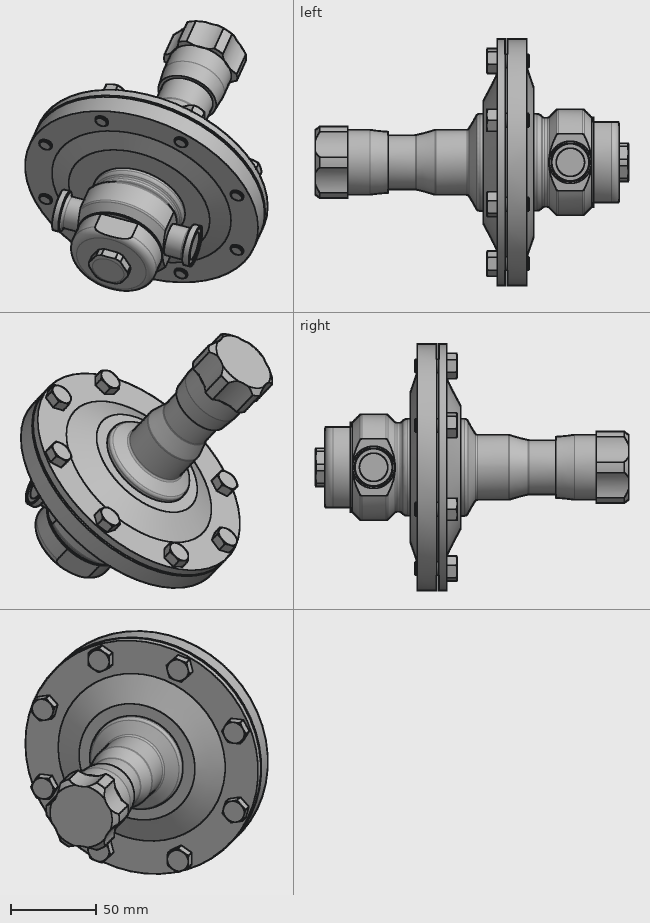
import cadquery as cq
import math


PLUG_CONE_END = 0.7
CAP_FRONT = 5.65
CAP_REAR = 20.7
LAND_REAR = 21.8
COLLAR_FRONT = 55.75
FRONT_FLANGE_FRONT = 59.8
FRONT_FLANGE_REAR = 71.3
REAR_FLANGE_FRONT = 72.6
REAR_FLANGE_REAR = 77.2
REAR_DOME_TOP = 85.4
BONNET_CONE_START = 88.75
BONNET_CONE_END = 94.2
SPRING_TAPER_START = 113.5
SPRING_TAPER_END = 125.0
SLEEVE_FRONT = 141.1
SLEEVE_TAPER_END = 152.0
KNOB_FRONT = 164.8
TOTAL_LENGTH = 183.95

FLANGE_DIAMETER = 144.78
FLANGE_R = FLANGE_DIAMETER / 2
GASKET_R = 58.0
FRONT_DOME_BASE_R = 55.6
FRONT_DOME_TOP_R = 43.8
REAR_DOME_BASE_R = 51.9
REAR_DOME_TOP_R = 36.0

BOLT_COUNT = 8
BOLT_CIRCLE_R = 64.3
FIRST_BOLT_ANGLE = 360 / BOLT_COUNT / 2
HEAD_TURN = 22.5
BOLT_R = 4.0
BOLT_TIP_Y = 58.5
BOLT_TIP_CHAMFER = 0.6
BOLT_HEAD_ACROSS_FLATS = 13.0
BOLT_HEAD_HEIGHT = 6.1
HEAD_CHAMFER_R = 6.5
HEAD_CHAMFER_DROP = 0.5

BODY_R = 31.2
BODY_FLAT_HALF = 26.4
LAND_R = 26.35
NECK_R = 26.15
COLLAR_R = 28.5
BODY_CONE_REAR = 47.2
NECK_REAR = 50.2
BODY_EDGE_FILLET = 1.6
COLLAR_FILLET = 3.5

CAP_R = 26.3
CAP_FLAT_HALF = 23.65
CAP_FILLET = 4.7
PLUG_ACROSS_FLATS = 22.6
PLUG_R = 12.1
PLUG_FACE_R = 9.8

PORT_Y = 34.3
PORT_END_X = 42.4
PORT_FLANGE_BACK_X = 38.6
PORT_BEVEL_X = 38.1
PORT_NECK_START_X = 36.4
PORT_FLANGE_R = 12.4
PORT_BEVEL_R = 11.6
PORT_NECK_R = 9.6
PORT_RECESS_R = 11.3
PORT_RECESS_FLOOR_R = 10.9
PORT_RECESS_DEPTH = 0.5
PORT_BORE_R = 8.3
PORT_BORE_STEP = 0.2

BONNET_R = 28.6
SPRING_R = 19.15
SPRING_NECK_R = 16.0
SLEEVE_FRONT_R = 18.0
BONNET_FILLET_BASE = 2.5
BONNET_FILLET_TOP = 1.6
SPRING_FILLET = 2.5

KNOB_R = 22.7
KNOB_END_R = 19.3
KNOB_CHAMFER_LENGTH = 2.8
FLUTE_COUNT = 6
FLUTE_HALF_WIDTH = 8.6
FLUTE_FLOOR_R = 18.6


def turned(points):
    """Revolve an (r, y) outline about the Y axis; the outline is closed along the axis."""
    on_axis = [(0, points[0][1])] + points + [(0, points[-1][1])]
    return cq.Workplane("XY").polyline(on_axis).close().revolve(360, (0, 0, 0), (0, 1, 0))


def disc(radius, y_start, y_end):
    """Plain round bar along the Y axis."""
    return turned([(radius, y_start), (radius, y_end)])


def slab(half_x, half_z, y_start, y_end):
    """Box centred on the main axis, used to trim flats."""
    length = y_end - y_start
    return cq.Workplane("XY").box(2 * half_x, length, 2 * half_z).translate((0, (y_start + y_end) / 2, 0))


def hexagon(across_flats, y_start, y_end):
    """Hexagonal bar along Y with two of its corners pointing along X."""
    across_corners = across_flats / math.cos(math.radians(30))
    return cq.Workplane("XZ", origin=(0, y_start, 0)).polygon(6, across_corners).extrude(y_start - y_end)


def turn_about_axis(solid, angle):
    """Turn a solid about the main axis, from +X towards +Z."""
    return solid.rotate((0, 0, 0), (0, 1, 0), -angle)


def fillet_circles(solid, y, radius, fillet):
    """Round the turned edge of the given radius lying at station y."""
    tolerance = 0.01
    lower = (-radius - tolerance, y - tolerance, -radius - tolerance)
    upper = (radius + tolerance, y + tolerance, radius + tolerance)
    return solid.edges(cq.selectors.BoxSelector(lower, upper, boundingbox=True)).fillet(fillet)


def make_flanges():
    """Both flanges with their domes, joined by the gasket that leaves a gap at the rim."""
    return turned([
        (FRONT_DOME_TOP_R, COLLAR_FRONT),
        (FRONT_DOME_BASE_R, FRONT_FLANGE_FRONT),
        (FLANGE_R, FRONT_FLANGE_FRONT),
        (FLANGE_R, FRONT_FLANGE_REAR),
        (GASKET_R, FRONT_FLANGE_REAR),
        (GASKET_R, REAR_FLANGE_FRONT),
        (FLANGE_R, REAR_FLANGE_FRONT),
        (FLANGE_R, REAR_FLANGE_REAR),
        (REAR_DOME_BASE_R, REAR_FLANGE_REAR),
        (REAR_DOME_TOP_R, REAR_DOME_TOP),
    ])


def make_bolt():
    """One flange bolt on the main axis, tip forward and head behind the rear flange."""
    shank = disc(BOLT_R, BOLT_TIP_Y, REAR_FLANGE_REAR).faces("<Y").chamfer(BOLT_TIP_CHAMFER)
    head_rear = REAR_FLANGE_REAR + BOLT_HEAD_HEIGHT
    corner_r = BOLT_HEAD_ACROSS_FLATS / 2 / math.cos(math.radians(30))
    head_limit = turned([
        (corner_r, REAR_FLANGE_REAR),
        (corner_r, head_rear - HEAD_CHAMFER_DROP),
        (HEAD_CHAMFER_R, head_rear),
    ])
    head = hexagon(BOLT_HEAD_ACROSS_FLATS, REAR_FLANGE_REAR, head_rear).intersect(head_limit)
    return shank.union(head)


def add_bolts(part):
    """Add the bolt circle; each head turns round the axis with its bolt."""
    bolt = turn_about_axis(make_bolt(), HEAD_TURN).translate((BOLT_CIRCLE_R, 0, 0))
    for index in range(BOLT_COUNT):
        angle = FIRST_BOLT_ANGLE + index * 360 / BOLT_COUNT
        part = part.union(turn_about_axis(bolt, angle))
    return part


def make_body():
    """Valve body: 45 degree cones either side of a wide barrel, then a neck and collar."""
    barrel_front = LAND_REAR + (BODY_R - LAND_R)
    barrel_rear = BODY_CONE_REAR - (BODY_R - NECK_R)
    collar_edge = NECK_REAR + (COLLAR_R - NECK_R)
    body = turned([
        (LAND_R, CAP_REAR),
        (LAND_R, LAND_REAR),
        (BODY_R, barrel_front),
        (BODY_R, barrel_rear),
        (NECK_R, BODY_CONE_REAR),
        (NECK_R, NECK_REAR),
        (COLLAR_R, collar_edge),
        (COLLAR_R, COLLAR_FRONT),
    ])
    for y, radius in (
        (barrel_front, BODY_R),
        (barrel_rear, BODY_R),
        (BODY_CONE_REAR, NECK_R),
        (NECK_REAR, NECK_R),
    ):
        body = fillet_circles(body, y, radius, BODY_EDGE_FILLET)
    body = fillet_circles(body, collar_edge, COLLAR_R, COLLAR_FILLET)
    flat_depth = BODY_R - BODY_FLAT_HALF
    outside_flat = slab(flat_depth, BODY_R, CAP_REAR, BODY_CONE_REAR)
    for side in (-1, 1):
        body = body.cut(outside_flat.translate((side * (BODY_FLAT_HALF + flat_depth), 0, 0)))
    return body


def make_cap():
    """Cap with a rounded front edge and a flat on its +Z and -Z sides."""
    cap = disc(CAP_R, CAP_FRONT, CAP_REAR).faces("<Y").edges().fillet(CAP_FILLET)
    return cap.intersect(slab(CAP_R, CAP_FLAT_HALF, CAP_FRONT, CAP_REAR))


def make_plug():
    """Hexagonal plug with trimmed corners and a shallow front chamfer."""
    limit = turned([(PLUG_FACE_R, 0), (PLUG_R, PLUG_CONE_END), (PLUG_R, CAP_FRONT)])
    return hexagon(PLUG_ACROSS_FLATS, 0, CAP_FRONT).intersect(limit)


def make_ports():
    """Port on the +X side with a recessed end face, mirrored to -X."""
    recess_x = PORT_END_X - PORT_RECESS_DEPTH
    bore_x = recess_x - PORT_BORE_STEP
    port = (
        cq.Workplane("XY")
        .moveTo(0, 0)
        .lineTo(0, PORT_NECK_R)
        .lineTo(PORT_NECK_START_X, PORT_NECK_R)
        .tangentArcPoint((PORT_BEVEL_X, PORT_BEVEL_R), relative=False)
        .lineTo(PORT_FLANGE_BACK_X, PORT_FLANGE_R)
        .lineTo(PORT_END_X, PORT_FLANGE_R)
        .lineTo(PORT_END_X, PORT_RECESS_R)
        .lineTo(recess_x, PORT_RECESS_FLOOR_R)
        .lineTo(recess_x, PORT_BORE_R)
        .lineTo(bore_x, PORT_BORE_R)
        .lineTo(bore_x, 0)
        .close()
        .revolve(360, (0, 0, 0), (1, 0, 0))
        .translate((0, PORT_Y, 0))
    )
    return port.union(port.mirror("YZ"))


def make_bonnet():
    """Bonnet base, spring housing with its waist, and the sleeve up to the knob."""
    bonnet = turned([
        (BONNET_R, REAR_DOME_TOP),
        (BONNET_R, BONNET_CONE_START),
        (SPRING_R, BONNET_CONE_END),
        (SPRING_R, SPRING_TAPER_START),
        (SPRING_NECK_R, SPRING_TAPER_END),
        (SPRING_NECK_R, SLEEVE_FRONT),
        (SLEEVE_FRONT_R, SLEEVE_FRONT),
        (SPRING_R, SLEEVE_TAPER_END),
        (SPRING_R, KNOB_FRONT),
    ])
    bonnet = fillet_circles(bonnet, BONNET_CONE_START, BONNET_R, BONNET_FILLET_BASE)
    bonnet = fillet_circles(bonnet, BONNET_CONE_END, SPRING_R, BONNET_FILLET_TOP)
    bonnet = fillet_circles(bonnet, SPRING_TAPER_START, SPRING_R, SPRING_FILLET)
    return fillet_circles(bonnet, SPRING_TAPER_END, SPRING_NECK_R, SPRING_FILLET)


def make_knob():
    """Round knob with a chamfered end and shallow concave flutes, one facing +Z."""
    knob = turned([
        (KNOB_R, KNOB_FRONT),
        (KNOB_R, TOTAL_LENGTH - KNOB_CHAMFER_LENGTH),
        (KNOB_END_R, TOTAL_LENGTH),
    ])
    rim_z = math.sqrt(KNOB_R**2 - FLUTE_HALF_WIDTH**2)
    flute_depth = rim_z - FLUTE_FLOOR_R
    flute_r = (FLUTE_HALF_WIDTH**2 + flute_depth**2) / (2 * flute_depth)
    flute = disc(flute_r, KNOB_FRONT, TOTAL_LENGTH).translate((0, 0, FLUTE_FLOOR_R + flute_r))
    for index in range(FLUTE_COUNT):
        knob = knob.cut(turn_about_axis(flute, index * 360 / FLUTE_COUNT))
    return knob


result = add_bolts(make_flanges())
for piece in (make_body(), make_cap(), make_plug(), make_ports(), make_bonnet(), make_knob()):
    result = result.union(piece)